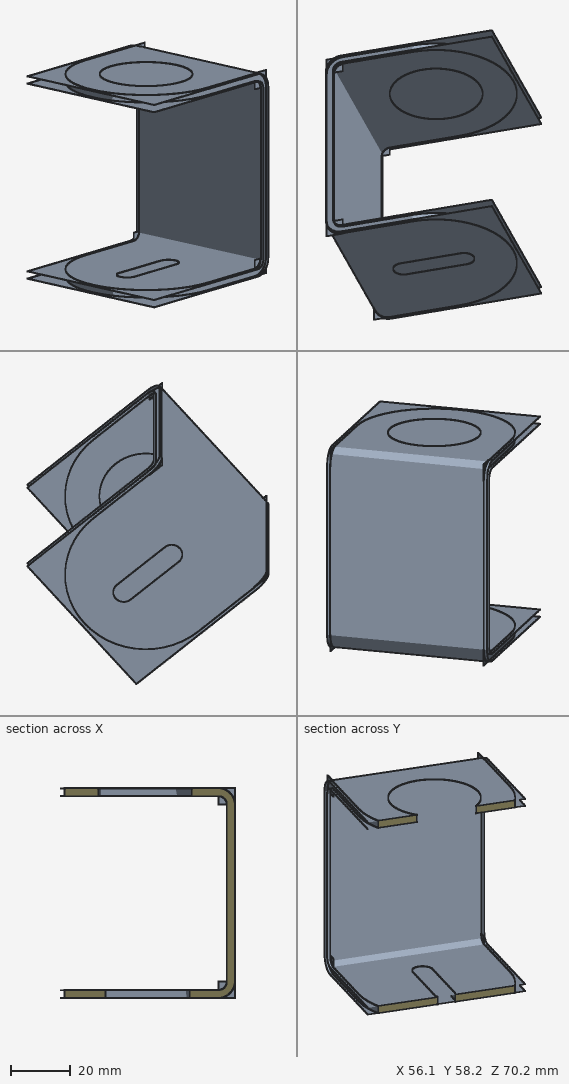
import cadquery as cq

skin_width = 56.1
depth = 58.2
height = 70.25

plate_width = 53.95
plate_thickness = 2.8
inner_bend_radius = 2.8
nose_centre_y = -1.0
nose_radius = plate_width / 2

round_hole_diameter = 31.05
slot_width = 7.0
slot_length = 28.1
slot_centre_y = -0.15

skin_thickness = 0.15
skin_recess = 0.1

front_y = -depth / 2
rear_y = depth / 2
top_z = height / 2
outer_bend_radius = inner_bend_radius + plate_thickness

web_size = outer_bend_radius


def u_block(width, inset):
    """Block inset from the outer bracket surface, rounded at both rear edges and flush at the front."""
    block_depth = depth - inset
    block = cq.Workplane("XY").box(width, block_depth, height - 2 * inset)
    block = block.translate((0, front_y + block_depth / 2, 0))
    return block.edges("|X and >Y").fillet(outer_bend_radius - inset)


def u_layer(width, outer_inset, inner_inset):
    """U-shaped layer between two depths below the outer bracket surface."""
    return u_block(width, outer_inset).cut(u_block(width, inner_inset))


def plate_outline():
    """Vertical prism that gives both plates their round nose."""
    straight_length = rear_y - nose_centre_y
    straight = (
        cq.Workplane("XY")
        .center(0, nose_centre_y + straight_length / 2)
        .rect(plate_width, straight_length)
        .extrude(top_z, both=True)
    )
    nose = cq.Workplane("XY").center(0, nose_centre_y).circle(nose_radius).extrude(top_z, both=True)
    return straight.union(nose)


def corner_web(side, end):
    """Square web at one end of a bend, set just below the bracket's side face."""
    x = side * (plate_width / 2 - skin_recess - skin_thickness / 2)
    y = rear_y - web_size / 2
    z = end * (top_z - web_size / 2)
    return cq.Workplane("XY").box(skin_thickness, web_size, web_size).translate((x, y, z))


bracket = u_layer(plate_width, 0, plate_thickness).intersect(plate_outline())

round_hole = (
    cq.Workplane("XY", origin=(0, nose_centre_y, top_z))
    .circle(round_hole_diameter / 2)
    .extrude(-plate_thickness)
)
slot = (
    cq.Workplane("XY", origin=(0, slot_centre_y, -top_z))
    .slot2D(slot_length, slot_width, 90)
    .extrude(plate_thickness)
)
result = bracket.cut(round_hole).cut(slot)

outer_skin = u_layer(skin_width, skin_recess, skin_recess + skin_thickness)
inner_skin_end = plate_thickness - skin_recess
inner_skin = u_layer(skin_width, inner_skin_end - skin_thickness, inner_skin_end)
result = result.union(outer_skin).union(inner_skin)

for side in (-1, 1):
    for end in (-1, 1):
        result = result.union(corner_web(side, end))